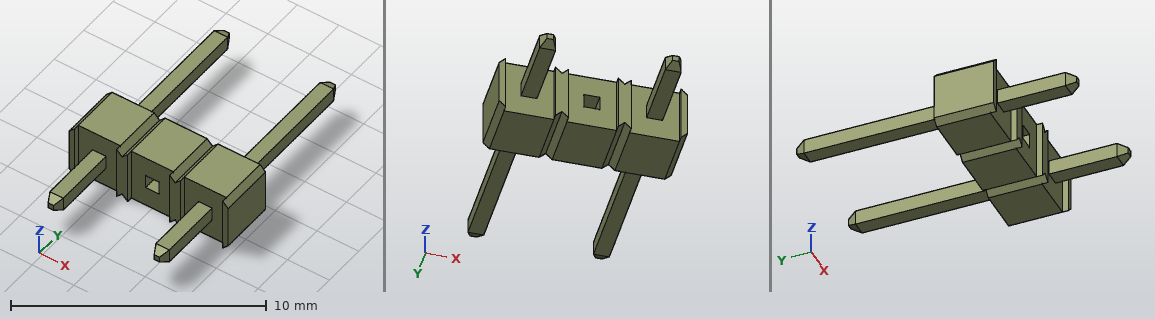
import cadquery as cq

cell_count = 3
housing_length = 7.62
pitch = housing_length / cell_count
housing_height = 2.54
housing_depth = 2.54
corner_chamfer = 0.26
recess_depth = 0.25

pin_length = 11.94
pin_width = 0.65
tip_length = 0.39
tip_width = 0.26
pin_front_reach = 3.05
pinned_cells = (0, 2)

housing_front = pin_front_reach
housing_back = housing_front + housing_depth
cell_centers = [(i - (cell_count - 1) / 2) * pitch for i in range(cell_count)]


def block(width, height, y_start, y_end, x_center):
    """Box centred on x_center and Z = 0, spanning y_start to y_end."""
    depth = y_end - y_start
    return cq.Workplane("XY").box(width, depth, height).translate((x_center, (y_start + y_end) / 2, 0))


def cell(x_center):
    """One chamfered housing cell with its front recessed between two side fins."""
    body = block(pitch, housing_height, housing_front, housing_back, x_center)
    body = body.edges("|Y").chamfer(corner_chamfer)
    recess_width = pitch - 2 * corner_chamfer
    recess_end = housing_front + recess_depth
    return body.cut(block(recess_width, housing_height, housing_front, recess_end, x_center))


def tip(y_base, y_end, x_center):
    """Tapered pin end, from full width at y_base to tip_width at y_end."""
    return (
        cq.Workplane("XZ", origin=(x_center, y_base, 0))
        .rect(pin_width, pin_width)
        .workplane(offset=y_base - y_end)
        .rect(tip_width, tip_width)
        .loft(ruled=True)
    )


def pin(x_center):
    """Square pin tapered at both ends."""
    shaft_end = pin_length - tip_length
    shaft = block(pin_width, pin_width, tip_length, shaft_end, x_center)
    return shaft.union(tip(tip_length, 0, x_center)).union(tip(shaft_end, pin_length, x_center))


result = cell(cell_centers[0])
for center in cell_centers[1:]:
    result = result.union(cell(center))

for index, center in enumerate(cell_centers):
    if index in pinned_cells:
        result = result.union(pin(center))
    else:
        result = result.cut(block(pin_width, pin_width, housing_front, housing_back, center))

result = result.clean()